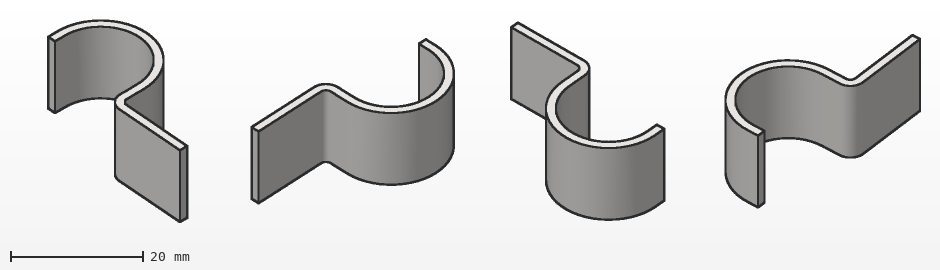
import cadquery as cq

length = 33.5
depth = 15.5
width = 14.0

thickness = 1.5
hook_outer_radius = 9.5
bend_inner_radius = 1.0
free_leg_length = 2.0

hook_inner_radius = hook_outer_radius - thickness
bend_outer_radius = bend_inner_radius + thickness

flange_end_x = length - hook_outer_radius
flange_outer_y = hook_outer_radius - depth
flange_inner_y = flange_outer_y + thickness

bend_x = hook_outer_radius + bend_inner_radius
bend_y = flange_outer_y + bend_outer_radius

profile = (
    cq.Workplane("XY")
    .moveTo(-hook_outer_radius, -free_leg_length)
    .lineTo(-hook_outer_radius, 0)
    .threePointArc((0, hook_outer_radius), (hook_outer_radius, 0))
    .lineTo(hook_outer_radius, bend_y)
    .radiusArc((bend_x, flange_inner_y), -bend_inner_radius)
    .lineTo(flange_end_x, flange_inner_y)
    .lineTo(flange_end_x, flange_outer_y)
    .lineTo(bend_x, flange_outer_y)
    .radiusArc((hook_inner_radius, bend_y), bend_outer_radius)
    .lineTo(hook_inner_radius, 0)
    .threePointArc((0, hook_inner_radius), (-hook_inner_radius, 0))
    .lineTo(-hook_inner_radius, -free_leg_length)
    .close()
)

result = profile.extrude(width)